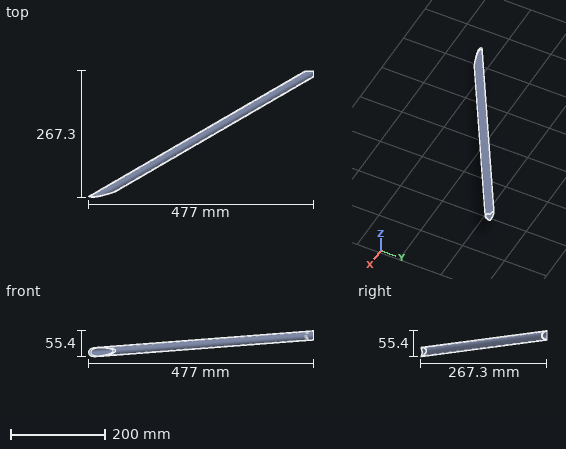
import cadquery as cq
import math

end_x = 477.0
end_y = 267.5

outer_radius = 10.0
wall = 1.65
tube_azimuth = 30.1
tube_elevation = 3.8

tip = cq.Vector(0, 2.0, 9.0)

cope_radius = 14.5
cope_azimuth = 9.8
cope_elevation = 3.2

overrun = 95.5


def direction(azimuth, elevation):
    """Unit vector from a heading in plan and a rise above the XY plane, in degrees."""
    heading = math.radians(azimuth)
    rise = math.radians(elevation)
    return cq.Vector(
        math.cos(rise) * math.cos(heading),
        math.cos(rise) * math.sin(heading),
        math.sin(rise),
    )


def right_of(azimuth):
    """Horizontal unit vector pointing to the right of a heading."""
    return direction(azimuth - 90, 0)


def make_tube():
    axis = direction(tube_azimuth, tube_elevation)
    start = tip + right_of(tube_azimuth) * outer_radius - axis * overrun
    length = math.hypot(end_x, end_y) + 2 * overrun
    outside = cq.Solid.makeCylinder(outer_radius, length, start, axis)
    bore = cq.Solid.makeCylinder(outer_radius - wall, length, start, axis)
    return cq.Workplane(outside.cut(bore))


def make_cope_cutter():
    """Round saddle plus a slab that clears the tube beyond the saddle axis."""
    axis = direction(cope_azimuth, cope_elevation)
    side = right_of(cope_azimuth)
    start = tip + side * cope_radius - axis * overrun
    length = 3 * overrun
    saddle = cq.Solid.makeCylinder(cope_radius, length, start, axis)
    section = cq.Plane(origin=start, xDir=side, normal=axis)
    slab = (
        cq.Workplane(section)
        .rect(overrun, 2 * cope_radius)
        .extrude(length)
        .translate(side * (overrun / 2))
    )
    return slab.union(cq.Workplane(saddle))


def make_end_limits():
    """Block whose +X and +Y faces trim the upper end."""
    return cq.Workplane().box(
        end_x + overrun, end_y + overrun, 2 * overrun, centered=(False, False, True)
    ).translate((-overrun, -overrun, 0))


result = make_tube().cut(make_cope_cutter()).intersect(make_end_limits())